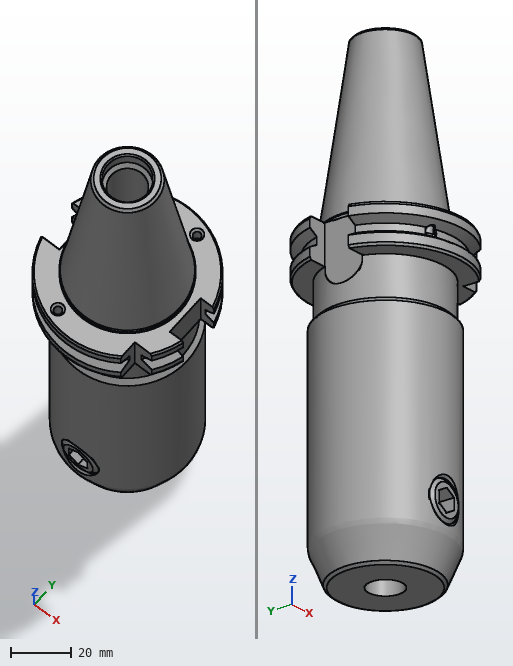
import cadquery as cq
import math

gauge_diameter = 44.45
taper_ratio = 7 / 24
taper_length = 68.4
taper_end_chamfer = 1.0
taper_end_radius = (gauge_diameter - taper_ratio * taper_length) / 2
taper_base = -1.5
taper_base_radius = (gauge_diameter - taper_ratio * taper_base) / 2
collar_radius = 22.8
collar_top = -2.1

flange_radius = 63.55 / 2
flange_top = -3.2
flange_bottom = -19.1
flange_chamfer_width = 0.6
flange_chamfer_height = 1.0
groove_floor_radius = 56.25 / 2
groove_centre = -11.1
groove_half_opening = 3.5
groove_flank_angle = 30
groove_depth = flange_radius - groove_floor_radius
groove_half_floor = groove_half_opening - groove_depth * math.tan(math.radians(groove_flank_angle))

neck_radius = 48.2 / 2
body_radius = 52 / 2
shoulder_top = -34.9
shoulder_height = body_radius - neck_radius
nose_bottom = -130.0
nose_cone_height = 13.3
nose_blend_radius = 5.0
nose_radius = 20.8
nose_chamfer_width = 1.2
nose_chamfer_height = 1.0

passage_radius = 14 / 2
recess_radius = 17 / 2
recess_depth = 5.3
recess_chamfer = 0.6
recess_cone_height = recess_radius - passage_radius

drive_slot_width = 16.1
left_slot_floor = 22.8
right_slot_floor = 25.0
left_slot_end = -27.5
notch_offset = 18.5

coolant_circle_radius = 54 / 2
coolant_angle = 19.6
coolant_hole_radius = 3.0 / 2
coolant_mouth_radius = 4.8 / 2
outlet_radius = 4.4 / 2

screw_height = nose_bottom + 25.0
screw_radius = 16 / 2
screw_tip_radius = 6.4
screw_end = 25.8
screw_chamfer = 1.4
screw_countersink_radius = 9.0
socket_across_flats = 8.0
socket_depth = 6.0
flat_distance = 23.2
flat_top = -96.7


def make_turned_body():
    outline = (
        cq.Workplane("XZ")
        .moveTo(0, taper_length)
        .lineTo(taper_end_radius - taper_end_chamfer, taper_length)
        .lineTo(taper_end_radius, taper_length - taper_end_chamfer)
        .lineTo(taper_base_radius, taper_base)
        .lineTo(collar_radius, collar_top)
        .lineTo(collar_radius, flange_top)
        .lineTo(flange_radius - flange_chamfer_width, flange_top)
        .lineTo(flange_radius, flange_top - flange_chamfer_height)
        .lineTo(flange_radius, groove_centre + groove_half_opening)
        .lineTo(groove_floor_radius, groove_centre + groove_half_floor)
        .lineTo(groove_floor_radius, groove_centre - groove_half_floor)
        .lineTo(flange_radius, groove_centre - groove_half_opening)
        .lineTo(flange_radius, flange_bottom + flange_chamfer_height)
        .lineTo(flange_radius - flange_chamfer_width, flange_bottom)
        .lineTo(neck_radius, flange_bottom)
        .lineTo(neck_radius, shoulder_top)
        .lineTo(body_radius, shoulder_top - shoulder_height)
        .lineTo(body_radius, nose_bottom + nose_cone_height)
        .lineTo(nose_radius, nose_bottom + nose_chamfer_height)
        .lineTo(nose_radius - nose_chamfer_width, nose_bottom)
        .lineTo(0, nose_bottom)
        .close()
    )
    body = outline.revolve(360, (0, 0, 0), (0, 1, 0))
    blend_height = nose_bottom + nose_cone_height
    nose_edge = cq.selectors.BoxSelector(
        (-flange_radius, -flange_radius, blend_height - 0.1),
        (flange_radius, flange_radius, blend_height + 0.1),
        boundingbox=True,
    )
    return body.edges(nose_edge).fillet(nose_blend_radius)


def make_passage():
    recess_floor = taper_length - recess_depth
    return (
        cq.Workplane("XZ")
        .moveTo(0, taper_length)
        .lineTo(recess_radius + recess_chamfer, taper_length)
        .lineTo(recess_radius, taper_length - recess_chamfer)
        .lineTo(recess_radius, recess_floor)
        .lineTo(passage_radius, recess_floor - recess_cone_height)
        .lineTo(passage_radius, nose_bottom)
        .lineTo(0, nose_bottom)
        .close()
        .revolve(360, (0, 0, 0), (0, 1, 0))
    )


def make_left_slot():
    slot_radius = drive_slot_width / 2
    arc_centre = left_slot_end + slot_radius
    return (
        cq.Workplane("YZ", origin=(-left_slot_floor, 0, 0))
        .moveTo(-slot_radius, flange_top)
        .lineTo(-slot_radius, arc_centre)
        .threePointArc((0, left_slot_end), (slot_radius, arc_centre))
        .lineTo(slot_radius, flange_top)
        .close()
        .extrude(left_slot_floor - flange_radius)
    )


def make_flange_block(x_start, y_start, y_end):
    """Cutter reaching from x_start out to the flange rim over the whole flange height."""
    return cq.Workplane("XY").box(
        flange_radius - x_start, y_end - y_start, flange_top - flange_bottom, centered=False
    ).translate((x_start, y_start, flange_bottom))


def make_countersunk_hole(start, direction, hole_radius, mouth_radius, depth):
    """Blind hole with a 90 degree countersink at its mouth."""
    start_point = cq.Vector(*start)
    axis = cq.Vector(*direction)
    hole = cq.Solid.makeCylinder(hole_radius, depth, start_point, axis)
    countersink = cq.Solid.makeCone(
        mouth_radius, hole_radius, mouth_radius - hole_radius, start_point, axis
    )
    return cq.Workplane(hole).union(cq.Workplane(countersink))


def make_coolant_holes():
    """Axial hole from the flange top meeting a radial outlet in the groove floor."""
    axial = make_countersunk_hole(
        (0, -coolant_circle_radius, flange_top),
        (0, 0, -1),
        coolant_hole_radius,
        coolant_mouth_radius,
        flange_top - groove_centre,
    )
    outlet = cq.Workplane("XZ", origin=(0, -coolant_circle_radius, groove_centre))
    outlet = outlet.circle(outlet_radius).extrude(flange_radius - coolant_circle_radius)
    pair = axial.union(outlet).rotate((0, 0, 0), (0, 0, 1), -coolant_angle)
    return pair.union(pair.rotate((0, 0, 0), (0, 0, 1), 180))


def make_screw_hole():
    """Shallow countersunk pocket that shows the end of the clamping screw."""
    return make_countersunk_hole(
        (0, -body_radius, screw_height),
        (0, 1, 0),
        screw_radius,
        screw_countersink_radius,
        body_radius - screw_end + screw_chamfer,
    )


def make_screw_end():
    """Chamfered end of the clamping screw, standing on the pocket floor."""
    tip = cq.Solid.makeCone(
        screw_radius,
        screw_tip_radius,
        screw_chamfer,
        cq.Vector(0, screw_chamfer - screw_end, screw_height),
        cq.Vector(0, -1, 0),
    )
    return cq.Workplane(tip)


def make_screw_socket():
    across_corners = socket_across_flats / math.cos(math.pi / 6)
    return (
        cq.Workplane("XZ", origin=(0, -screw_end, screw_height))
        .transformed(rotate=(0, 0, 90))
        .polygon(6, across_corners)
        .extrude(-socket_depth)
    )


def make_flat_cutter():
    return cq.Workplane("XY").box(
        2 * body_radius, body_radius - flat_distance, flat_top - nose_bottom, centered=(True, False, False)
    ).translate((0, flat_distance, nose_bottom))


half_slot = drive_slot_width / 2
result = (
    make_turned_body()
    .cut(make_passage())
    .cut(make_left_slot())
    .cut(make_flange_block(right_slot_floor, -half_slot, half_slot))
    .cut(make_flange_block(notch_offset, -flange_radius, -notch_offset))
    .cut(make_coolant_holes())
    .cut(make_screw_hole())
    .union(make_screw_end())
    .cut(make_screw_socket())
    .cut(make_flat_cutter())
)